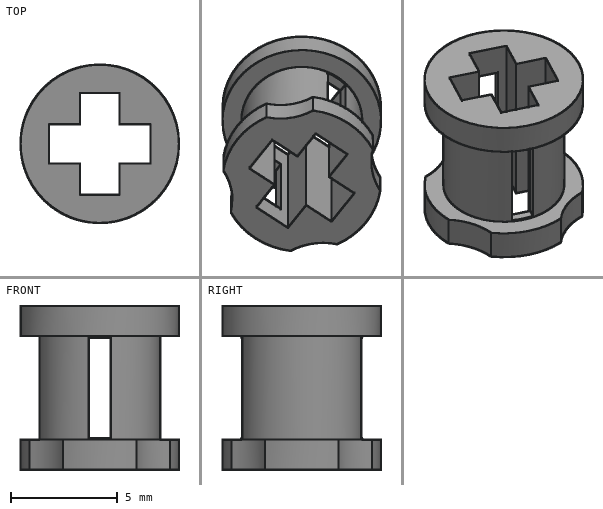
import cadquery as cq
import math

height = 7.67
flange_radius = 3.7085
flange_height = 1.42
shank_radius = 2.83

cross_length = 4.74
cross_width = 1.825

window_width = 1.03
window_height = 4.68

scallop_half_angle = math.radians(17.3)
scallop_floor = 3.33

half_chord = flange_radius * math.sin(scallop_half_angle)
scallop_depth = flange_radius * math.cos(scallop_half_angle) - scallop_floor
scallop_radius = (half_chord**2 + scallop_depth**2) / (2 * scallop_depth)
scallop_distance = scallop_floor + scallop_radius


def disc(radius, bottom, thickness):
    return cq.Workplane("XY").workplane(offset=bottom).circle(radius).extrude(thickness)


def lower_flange():
    flange = disc(flange_radius, 0, flange_height)
    cutters = (
        cq.Workplane("XY")
        .polarArray(scallop_distance, 45, 360, 4)
        .circle(scallop_radius)
        .extrude(flange_height)
    )
    return flange.cut(cutters)


def axle_hole():
    arm_x = cq.Workplane("XY").rect(cross_length, cross_width).extrude(height)
    arm_y = cq.Workplane("XY").rect(cross_width, cross_length).extrude(height)
    return arm_x.union(arm_y)


def shank_window():
    return (
        cq.Workplane("XY")
        .box(window_width, 2 * flange_radius, window_height)
        .translate((0, 0, height / 2))
    )


result = (
    disc(shank_radius, 0, height)
    .union(lower_flange())
    .union(disc(flange_radius, height - flange_height, flange_height))
    .cut(axle_hole())
    .cut(shank_window())
)